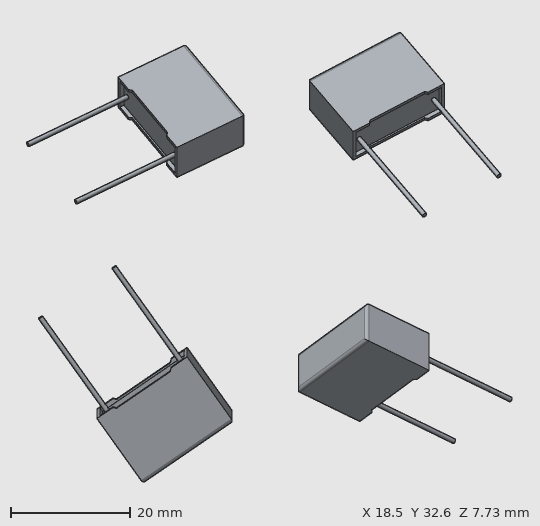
import cadquery as cq

total_length = 32.6
case_width = 18.5
case_depth = 13.6
case_height = 7.73
wall = 0.62
edge_radius = 0.55

notch_mouth_width = 11.87
notch_floor_width = 11.1
notch_depth = 0.45

resin_recess = 0.78
lead_diameter = 0.85
lead_pitch = 15.05

lead_tip_y = -total_length / 2
back_y = total_length / 2
open_y = back_y - case_depth
cavity_end_y = back_y - wall
resin_face_y = open_y + resin_recess
cavity_width = case_width - 2 * wall
cavity_height = case_height - 2 * wall


def block(width, height, y_start, y_end):
    """Box centred on X and Z, running from y_start to y_end."""
    length = y_end - y_start
    return cq.Workplane("XY").box(width, length, height).translate((0, y_start + length / 2, 0))


def make_notch():
    """Tapered cutter that passes through both wide walls."""
    half_mouth = notch_mouth_width / 2
    half_floor = notch_floor_width / 2
    floor_y = open_y + notch_depth
    return (
        cq.Workplane("XY")
        .polyline([(-half_mouth, open_y), (half_mouth, open_y), (half_floor, floor_y), (-half_floor, floor_y)])
        .close()
        .extrude(case_height, both=True)
    )


def make_case():
    """Open-ended case with rounded edges around its closed end."""
    shell = block(case_width, case_height, open_y, back_y).faces(">Y").edges().fillet(edge_radius)
    cavity = block(cavity_width, cavity_height, open_y, cavity_end_y)
    return shell.cut(cavity).cut(make_notch())


def make_resin():
    """Filling of the cavity, set back from the open end."""
    return block(cavity_width, cavity_height, resin_face_y, cavity_end_y)


def make_lead(x):
    """Round wire from the resin face to the lead tip."""
    return (
        cq.Workplane("XZ", origin=(x, resin_face_y, 0))
        .circle(lead_diameter / 2)
        .extrude(resin_face_y - lead_tip_y)
    )


case = make_case()
resin = make_resin()
leads = []
for side in (-1, 1):
    leads.append(make_lead(side * lead_pitch / 2).val())

result = cq.Compound.makeCompound([case.val(), resin.val(), *leads])